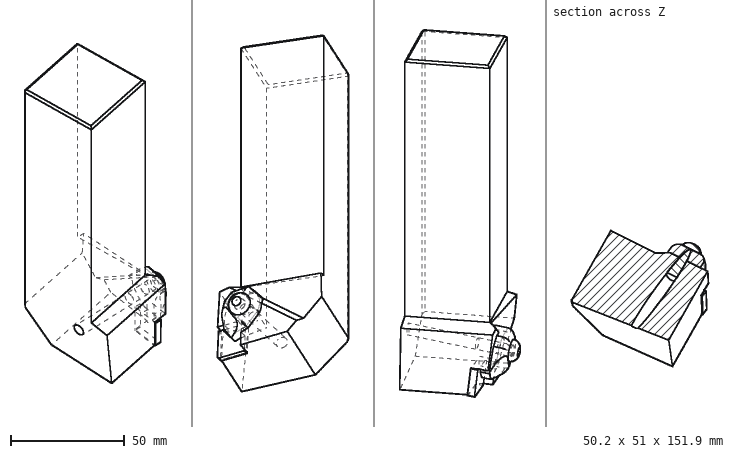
import cadquery as cq
import math

TOTAL_LENGTH = 151.9
SHANK_SIDE = 38.1
TOP_CHAMFER = 1.0

HEAD_TOP = 31.1
STEP_SLOPE = 15.0
HEAD_CORNER_X = 49.5
HEAD_CORNER_Z = 0.8
CUTTING_LEAN = 5.0
SHOULDER_X = 47.0
BEVEL_END_X = 15.6
BEVEL_START_Z = 18.8
HEAD_DEPTH = 48.6

RAKE = 0.1
FACE_Y = 43.0
RAMP_DROP = 3.5
RAMP_RUN = 2.7
RAMP_FOOT = (11.0, 7.9)
RAMP_HEAD = (42.1, 30.1)

INSERT_SIDE = 12.9
INSERT_THICKNESS = 3.3
INSERT_DEPTH = 4.3
INSERT_NOSE_RADIUS = 0.8
INSERT_TIP_X = 51.0
INSERT_TIP_Z = -0.5

CLAMP_HEIGHT = 6.2
CLAMP_ROUNDING = 3.8
NOSE_DIRECTION = (4.5, -3)
CLAMP_NOSE_START = 5.5
CLAMP_NOSE_END = 12.8
HEEL_START = (28.4, 15.3)
HEEL_MIDDLE = (27.3, 19.6)
HEEL_END = (28.4, 23.8)
CLAMP_SIDES = [
    (31.7, 27.2),
    (39.8, 26.0),
    (43.5, 22.2),
    (45.3, 16.0),
    (45.5, 9.9),
    (42.2, 6.0),
    (34.2, 9.1),
]
SCREW_HOLE_X = 31.1
SCREW_HOLE_Z = 22.5
SCREW_RADIUS = 2.6
SCREW_SHANK_LENGTH = 9.9
SCREW_HEAD_RADIUS = 5.2
SCREW_TOP_RADIUS = 2.1
SCREW_HEAD_HEIGHT = 3.3
SCREW_DOME_BULGE = 0.64

CLEAR = 91.1


def raked_plane():
    """Plane of the raked face: local x runs along +X, local y up Z, the normal into the holder."""
    return cq.Plane(origin=(0, FACE_Y, 0), xDir=(1, -RAKE, 0), normal=(-RAKE, -1, RAKE))


def raked(depth=0.0):
    """Workplane parallel to the raked face, at a depth below it (negative is outside)."""
    return cq.Workplane(raked_plane()).workplane(offset=depth)


def make_shank():
    base = cq.Workplane("XY").workplane(offset=HEAD_TOP).rect(SHANK_SIDE, SHANK_SIDE, centered=False)
    return base.extrude(TOTAL_LENGTH - HEAD_TOP).faces(">Z").chamfer(TOP_CHAMFER)


def make_head():
    """Head where its outline along Y meets its outline along X, so its shoulders are mitred."""
    lean = math.tan(math.radians(CUTTING_LEAN))
    slope = math.tan(math.radians(STEP_SLOPE))
    y_normal_outline = [
        (0, HEAD_TOP),
        (SHANK_SIDE, HEAD_TOP),
        (SHOULDER_X, HEAD_TOP - (SHOULDER_X - SHANK_SIDE) * slope),
        (HEAD_CORNER_X, HEAD_CORNER_Z),
        (BEVEL_END_X, HEAD_CORNER_Z + (HEAD_CORNER_X - BEVEL_END_X) * lean),
        (0, BEVEL_START_Z),
    ]
    x_normal_outline = [
        (0, 0),
        (HEAD_DEPTH, 0),
        (HEAD_DEPTH, HEAD_TOP - (HEAD_DEPTH - SHANK_SIDE) * slope),
        (SHANK_SIDE, HEAD_TOP),
        (0, HEAD_TOP),
    ]
    along_y = cq.Workplane("XZ").polyline(y_normal_outline).close().extrude(-HEAD_DEPTH)
    along_x = cq.Workplane("YZ").polyline(x_normal_outline).close().extrude(HEAD_CORNER_X)
    return along_y.intersect(along_x)


def cut_corner_chamfer(body):
    corner = cq.Workplane("XY").polyline([(0, 0), (TOP_CHAMFER, 0), (0, TOP_CHAMFER)]).close()
    return body.cut(corner.extrude(TOTAL_LENGTH))


def head_zone():
    """Block that covers the head and stops at the foot of the shank."""
    return cq.Workplane("XY").box(2 * CLEAR, 2 * CLEAR, CLEAR).translate((0, 0, HEAD_TOP - CLEAR / 2))


def cut_raked_face(body):
    return body.cut(raked().rect(2 * CLEAR, 2 * CLEAR).extrude(-CLEAR).intersect(head_zone()))


def profile_plane(base, direction):
    """Plane across the raked face: local x along a direction in the face, local y outwards."""
    plane = raked_plane()
    along_x, along_z = direction
    return cq.Plane(
        origin=plane.toWorldCoords(base),
        xDir=plane.toWorldCoords((along_x, along_z)) - plane.origin,
        normal=plane.toWorldCoords((-along_z, along_x)) - plane.origin,
    )


def cut_ramp(body):
    """Lower floor for the clamp heel, bounded by a ramp that runs across the head."""
    towards_heel = (RAMP_FOOT[1] - RAMP_HEAD[1], RAMP_HEAD[0] - RAMP_FOOT[0])
    profile = [(0, 0), (RAMP_RUN, -RAMP_DROP), (CLEAR, -RAMP_DROP), (CLEAR, 0)]
    cutter = cq.Workplane(profile_plane(RAMP_FOOT, towards_heel)).polyline(profile).close()
    return body.cut(cutter.extrude(CLEAR, both=True).intersect(head_zone()))


def insert_prism(height):
    """Rhombus with its tip at the cutting corner, standing on the insert seat."""
    lean = math.radians(CUTTING_LEAN)
    along = INSERT_SIDE * math.cos(lean)
    across = INSERT_SIDE * math.sin(lean)
    outline = [
        (INSERT_TIP_X, INSERT_TIP_Z),
        (INSERT_TIP_X - across, INSERT_TIP_Z + along),
        (INSERT_TIP_X - across - along, INSERT_TIP_Z + along + across),
        (INSERT_TIP_X - along, INSERT_TIP_Z + across),
    ]
    return raked(INSERT_DEPTH + INSERT_THICKNESS).polyline(outline).close().extrude(-height)


def make_insert():
    tip_edge = cq.selectors.ParallelDirSelector(raked_plane().zDir)
    return insert_prism(INSERT_THICKNESS).edges(tip_edge).edges(">X").fillet(INSERT_NOSE_RADIUS)


def screw_center():
    """Screw axis in the local coordinates of the raked face."""
    local = raked_plane().toLocalCoords(cq.Vector(SCREW_HOLE_X, 0, SCREW_HOLE_Z))
    return (local.x, local.y)


def make_screw():
    """Revolved screw: its shank reaches below the raked face, its domed head sits on the clamp."""
    top = CLAMP_HEIGHT + SCREW_HEAD_HEIGHT
    half_section = (
        cq.Workplane(profile_plane(screw_center(), NOSE_DIRECTION))
        .moveTo(0, -SCREW_SHANK_LENGTH)
        .lineTo(SCREW_RADIUS, -SCREW_SHANK_LENGTH)
        .lineTo(SCREW_RADIUS, CLAMP_HEIGHT)
        .lineTo(SCREW_HEAD_RADIUS, CLAMP_HEIGHT)
        .sagittaArc((SCREW_TOP_RADIUS, top), -SCREW_DOME_BULGE)
        .lineTo(0, top)
        .close()
    )
    return half_section.revolve(360, (0, 0), (0, 1))


def screw_bore():
    return raked(-CLEAR).center(*screw_center()).circle(SCREW_RADIUS).extrude(2 * CLEAR)


def make_holder():
    body = cut_corner_chamfer(make_shank().union(make_head()))
    body = cut_raked_face(body)
    body = cut_ramp(body)
    body = body.cut(insert_prism(CLEAR))
    return body.cut(screw_bore())


def make_clamp(holder, insert):
    """Block rounded at the top, whose underside follows the ramp and the insert."""
    outline = raked(INSERT_DEPTH).moveTo(*HEEL_START).threePointArc(HEEL_MIDDLE, HEEL_END)
    for corner in CLAMP_SIDES:
        outline = outline.lineTo(*corner)
    body = outline.close().extrude(-INSERT_DEPTH - CLAMP_HEIGHT)
    nose = [(CLAMP_NOSE_START, CLAMP_HEIGHT), (CLAMP_NOSE_END, 0), (CLEAR, 0), (CLEAR, CLAMP_HEIGHT)]
    nose_cutter = cq.Workplane(profile_plane(screw_center(), NOSE_DIRECTION)).polyline(nose).close()
    outermost = cq.selectors.DirectionMinMaxSelector(-raked_plane().zDir)
    body = body.faces(outermost).edges().fillet(CLAMP_ROUNDING)
    body = body.cut(nose_cutter.extrude(CLEAR, both=True))
    return body.cut(holder).cut(insert).cut(screw_bore())


holder = make_holder()
insert = make_insert()
clamp = make_clamp(holder, insert)
screw = make_screw()

result = cq.Compound.makeCompound(
    [
        holder.solids().val(),
        insert.solids().val(),
        clamp.solids().val(),
        screw.solids().val(),
    ]
)